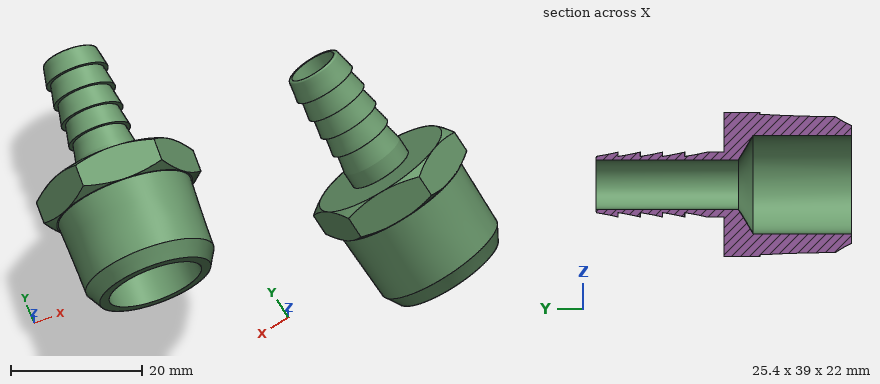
import cadquery as cq
import math

total_length = 39.0

thread_length = 14.0
thread_chamfer_length = 2.5
face_radius = 9.0
thread_small_radius = 10.4
thread_large_radius = 10.75

hex_across_flats = 22.0
hex_thickness = 5.5
hex_chamfer_angle = 30
hex_end = thread_length + hex_thickness

barb_radius = 5.0
barb_root_radius = 4.33
barb_count = 5
barb_pitch = 3.4
barb_start = total_length - barb_count * barb_pitch
tip_round = 0.3

small_bore_radius = 3.75
large_bore_radius = 7.5
large_bore_depth = 15.0
drill_half_angle = 59


def revolve_profile(points):
    """Revolve (radius, y) points around the Y axis."""
    return cq.Workplane("XY").polyline(points).close().revolve(360, (0, 0, 0), (0, 1, 0))


def make_thread():
    return revolve_profile([
        (0, 0),
        (face_radius, 0),
        (thread_small_radius, thread_chamfer_length),
        (thread_large_radius, thread_length),
        (0, thread_length),
    ])


def make_hex():
    corner_radius = hex_across_flats / math.sqrt(3)
    flat_radius = hex_across_flats / 2
    chamfer_drop = (corner_radius - flat_radius) * math.tan(math.radians(hex_chamfer_angle))
    prism = (
        cq.Workplane("XZ", origin=(0, thread_length, 0))
        .polygon(6, 2 * corner_radius)
        .extrude(-hex_thickness)
    )
    chamfer_envelope = revolve_profile([
        (0, thread_length),
        (flat_radius, thread_length),
        (corner_radius, thread_length + chamfer_drop),
        (corner_radius, hex_end - chamfer_drop),
        (flat_radius, hex_end),
        (0, hex_end),
    ])
    return prism.intersect(chamfer_envelope)


def make_tail():
    points = [(0, hex_end), (barb_radius, hex_end)]
    for index in range(barb_count):
        base = barb_start + index * barb_pitch
        points.append((barb_radius, base))
        points.append((barb_root_radius, base + barb_pitch))
    points.append((0, total_length))
    return revolve_profile(points).faces(">Y").edges().fillet(tip_round)


def make_bore():
    cone_length = (large_bore_radius - small_bore_radius) / math.tan(math.radians(drill_half_angle))
    return revolve_profile([
        (0, 0),
        (large_bore_radius, 0),
        (large_bore_radius, large_bore_depth),
        (small_bore_radius, large_bore_depth + cone_length),
        (small_bore_radius, total_length),
        (0, total_length),
    ])


result = make_thread().union(make_hex()).union(make_tail()).cut(make_bore())